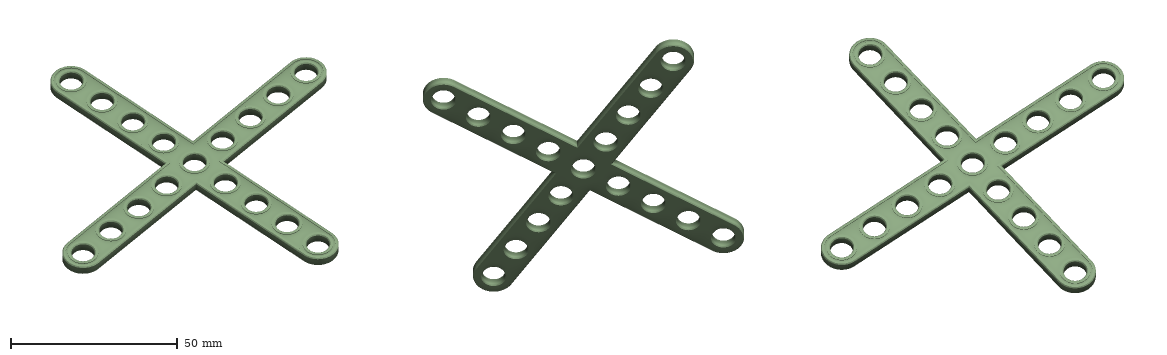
import cadquery as cq

span = 112.5
holes_per_arm = 9
thickness = 3.2
hole_diameter = 7.0
collar_diameter = 9.2
border_width = 1.0
recess_depth = 0.2
edge_chamfer = 0.3

hole_pitch = span / holes_per_arm
arm_width = hole_pitch


def hole_centres():
    """Centres of the holes along both arms, with the shared centre hole listed once."""
    end_index = holes_per_arm // 2
    offsets = [i * hole_pitch for i in range(-end_index, end_index + 1)]
    along_x = [(x, 0) for x in offsets]
    along_y = [(0, y) for y in offsets if y != 0]
    return along_x + along_y


def make_cross(inset, base, height):
    """Two round-ended bars crossing at the origin, with their outline moved inwards by inset."""
    plane = cq.Workplane("XY").workplane(offset=base)
    length = span - 2 * inset
    width = arm_width - 2 * inset
    bar_x = plane.slot2D(length, width).extrude(height)
    bar_y = plane.slot2D(length, width, 90).extrude(height)
    return bar_x.union(bar_y)


def make_discs(diameter, base, height):
    """One disc at every hole position."""
    plane = cq.Workplane("XY").workplane(offset=base)
    return plane.pushPoints(hole_centres()).circle(diameter / 2).extrude(height)


plate = make_cross(0, 0, thickness).cut(make_discs(hole_diameter, 0, thickness))
plate = plate.faces("<Z or >Z").chamfer(edge_chamfer)

recess_floor = thickness - recess_depth
recess = make_cross(border_width, recess_floor, recess_depth)
recess = recess.cut(make_discs(collar_diameter, recess_floor, recess_depth))

result = plate.cut(recess)